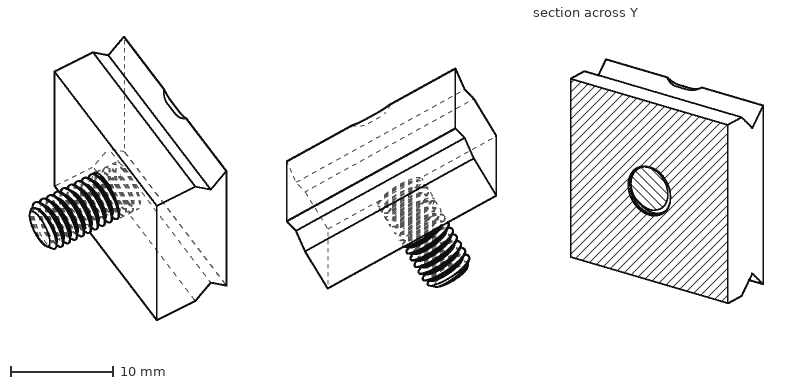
import cadquery as cq
import math

BLOCK_SIDE = 19.05
BLOCK_DEPTH = 8.0
GROOVE_WIDTH = 3.55
GROOVE_DEPTH = GROOVE_WIDTH / 2
LIP_FLAT = 0.04
NOTCH_WIDTH = 4.2
NOTCH_FLAT = 1.37
NOTCH_DEPTH = 0.44

STUD_LENGTH = 7.56
HOLE_CLEARANCE = 0.02
MAJOR_RADIUS = 2.51
THREAD_PITCH = 0.8
SEATED_TURNS = 3
SEAT_DEPTH = SEATED_TURNS * THREAD_PITCH
THREAD_HEIGHT = 0.51
HOLE_RADIUS = MAJOR_RADIUS + HOLE_CLEARANCE
ROOT_RADIUS = MAJOR_RADIUS - THREAD_HEIGHT
FLANK_ANGLE = math.radians(30)
CREST_WIDTH = THREAD_PITCH / 8
CREST_OFFSET = 0.04
ROOT_OVERLAP = 0.05
END_CHAMFER = 0.61


def make_block():
    """Square block with V-grooves across its top and bottom and a notch in the top rear edge,
    with a blind hole for the stud in its front face.
    """
    half = BLOCK_SIDE / 2
    groove_end = BLOCK_DEPTH - LIP_FLAT
    groove_start = groove_end - GROOVE_WIDTH
    groove_middle = groove_end - GROOVE_WIDTH / 2
    groove_floor = half - GROOVE_DEPTH
    block = (
        cq.Workplane("YZ")
        .moveTo(0, -half)
        .lineTo(groove_start, -half)
        .lineTo(groove_middle, -groove_floor)
        .lineTo(groove_end, -half)
        .lineTo(BLOCK_DEPTH, -half)
        .lineTo(BLOCK_DEPTH, half)
        .lineTo(groove_end, half)
        .lineTo(groove_middle, groove_floor)
        .lineTo(groove_start, half)
        .lineTo(0, half)
        .close()
        .extrude(half, both=True)
    )
    return block.cut(make_notch()).cut(make_stud_hole())


def make_notch():
    """Shallow dip with a flat floor and an arc, tangent to the floor, on each side."""
    top = BLOCK_SIDE / 2
    floor = top - NOTCH_DEPTH
    half_flat = NOTCH_FLAT / 2
    half_width = NOTCH_WIDTH / 2
    run = half_width - half_flat
    radius = (run**2 + NOTCH_DEPTH**2) / (2 * NOTCH_DEPTH)
    half_sweep = math.asin(run / radius) / 2
    mid_x = half_flat + radius * math.sin(half_sweep)
    mid_z = floor + radius * (1 - math.cos(half_sweep))
    return (
        cq.Workplane("XZ", origin=(0, BLOCK_DEPTH, 0))
        .moveTo(-half_width, top)
        .threePointArc((-mid_x, mid_z), (-half_flat, floor))
        .lineTo(half_flat, floor)
        .threePointArc((mid_x, mid_z), (half_width, top))
        .close()
        .extrude(GROOVE_WIDTH / 2)
    )


def make_stud_hole():
    """Blind round hole in the front face, deep enough to seat the stud's inner end."""
    return cq.Workplane("XZ").circle(HOLE_RADIUS).extrude(-SEAT_DEPTH)


def make_thread_ridge():
    """Right-handed helical ridge along Z, running past both ends of the stud."""
    spare_turns = 2
    turns = math.ceil((STUD_LENGTH + SEAT_DEPTH) / THREAD_PITCH) + 2 * spare_turns
    start = CREST_OFFSET - SEAT_DEPTH - spare_turns * THREAD_PITCH
    height = turns * THREAD_PITCH
    half_crest = CREST_WIDTH / 2
    inner_radius = ROOT_RADIUS - ROOT_OVERLAP
    half_base = half_crest + (MAJOR_RADIUS - inner_radius) * math.tan(FLANK_ANGLE)
    corners = [
        (inner_radius, start - half_base),
        (MAJOR_RADIUS, start - half_crest),
        (MAJOR_RADIUS, start + half_crest),
        (inner_radius, start + half_base),
    ]
    helices = [
        cq.Wire.makeHelix(THREAD_PITCH, height, radius, center=cq.Vector(0, 0, z))
        for radius, z in corners
    ]
    sides = []
    for index, helix in enumerate(helices):
        next_helix = helices[(index + 1) % len(helices)]
        sides.extend(cq.Face.makeRuledSurface(helix, next_helix).Faces())
    ends = []
    for rise in (0, height):
        points = [cq.Vector(radius, 0, z + rise) for radius, z in corners]
        ends.append(cq.Face.makeFromWires(cq.Wire.makePolygon(points, close=True)))
    return cq.Workplane(cq.Solid.makeSolid(cq.Shell.makeShell(sides + ends)))


def make_stud():
    """Threaded stud along -Y, seated in the block's hole."""
    total_length = STUD_LENGTH + SEAT_DEPTH
    base = cq.Workplane("XY", origin=(0, 0, -SEAT_DEPTH))
    core = base.circle(ROOT_RADIUS).extrude(total_length)
    envelope = (
        base.circle(HOLE_RADIUS)
        .extrude(total_length)
        .faces(">Z")
        .chamfer(END_CHAMFER + HOLE_RADIUS - MAJOR_RADIUS)
    )
    stud = core.union(make_thread_ridge()).intersect(envelope)
    return stud.rotate((0, 0, 0), (1, 0, 0), 90)


block = make_block()
stud = make_stud()

result = cq.Compound.makeCompound([block.val(), *stud.vals()])